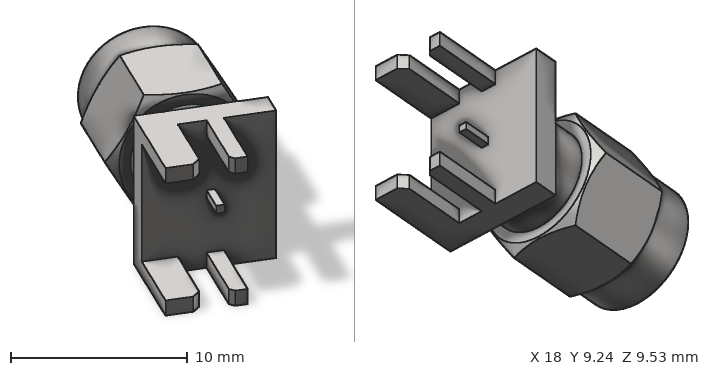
import cadquery as cq
import math


length = 18.01
nut_start = 2.72
nut_end = 8.52
plate_start = 11.6
plate_end = 13.25
contact_end = 15.16

collar_radius = 3.9
rim_fillet = 0.25
nut_corner_diameter = 9.24
nut_chamfer_radius = 3.9
nut_chamfer_angle = 35.0
bore_radius = 3.33
bore_depth = 3.73

pin_radius = 0.47
pin_start = 1.17
pin_chamfer = 0.15

neck_radius = 3.25

plate_width = 7.92
plate_height = 9.53
leg_thickness = 0.99
board_slot_top = -0.15
board_slot_bottom = -1.84
narrow_leg_width = 1.03
narrow_leg_chamfer = 0.29
wide_leg_chamfer = 0.49

contact_size = 0.5


def cylinder(radius, start, end):
    return cq.Workplane("YZ", origin=(start, 0, 0)).circle(radius).extrude(end - start)


def box(x_range, y_range, z_range):
    corner = (x_range[0], y_range[0], z_range[0])
    sizes = [high - low for low, high in (x_range, y_range, z_range)]
    return cq.Workplane("XY", origin=corner).box(*sizes, centered=False)


def make_hex_nut():
    """Hexagon with corners on +Y and -Y, both ends trimmed by a cone."""
    corner_radius = nut_corner_diameter / 2
    setback = (corner_radius - nut_chamfer_radius) * math.tan(math.radians(nut_chamfer_angle))
    hexagon = (
        cq.Workplane("YZ", origin=(nut_start, 0, 0))
        .polygon(6, nut_corner_diameter)
        .extrude(nut_end - nut_start)
    )
    envelope = (
        cq.Workplane("XY")
        .moveTo(nut_start, 0)
        .lineTo(nut_start, nut_chamfer_radius)
        .lineTo(nut_start + setback, corner_radius)
        .lineTo(nut_end - setback, corner_radius)
        .lineTo(nut_end, nut_chamfer_radius)
        .lineTo(nut_end, 0)
        .close()
        .revolve(360, (0, 0, 0), (1, 0, 0))
    )
    return hexagon.intersect(envelope)


def make_leg(outer_y, slot_y, chamfer, bottom_z):
    """Leg from outer_y to slot_y, its tip chamfered on the slot side."""
    toward_outer = math.copysign(chamfer, outer_y - slot_y)
    return (
        cq.Workplane("XY", origin=(0, 0, bottom_z))
        .moveTo(plate_start, outer_y)
        .lineTo(length, outer_y)
        .lineTo(length, slot_y + toward_outer)
        .lineTo(length - chamfer, slot_y)
        .lineTo(plate_start, slot_y)
        .close()
        .extrude(leg_thickness)
    )


collar = cylinder(collar_radius, 0, nut_end).faces("<X").edges().fillet(rim_fillet)
body = collar.union(make_hex_nut()).cut(cylinder(bore_radius, 0, bore_depth))
body = body.union(cylinder(neck_radius, bore_depth, plate_start))

pin = cylinder(pin_radius, pin_start, nut_end).faces("<X").chamfer(pin_chamfer)
body = body.union(pin)

half_width = plate_width / 2
half_height = plate_height / 2
plate = box((plate_start, plate_end), (-half_width, half_width), (-half_height, half_height))
body = body.union(plate)

for leg_bottom in (-half_height, half_height - leg_thickness):
    narrow_leg_top = board_slot_top + narrow_leg_width
    body = body.union(make_leg(narrow_leg_top, board_slot_top, narrow_leg_chamfer, leg_bottom))
    body = body.union(make_leg(-half_width, board_slot_bottom, wide_leg_chamfer, leg_bottom))

contact = box(
    (plate_start, contact_end),
    (board_slot_top, board_slot_top + contact_size),
    (-contact_size / 2, contact_size / 2),
)
result = body.union(contact)